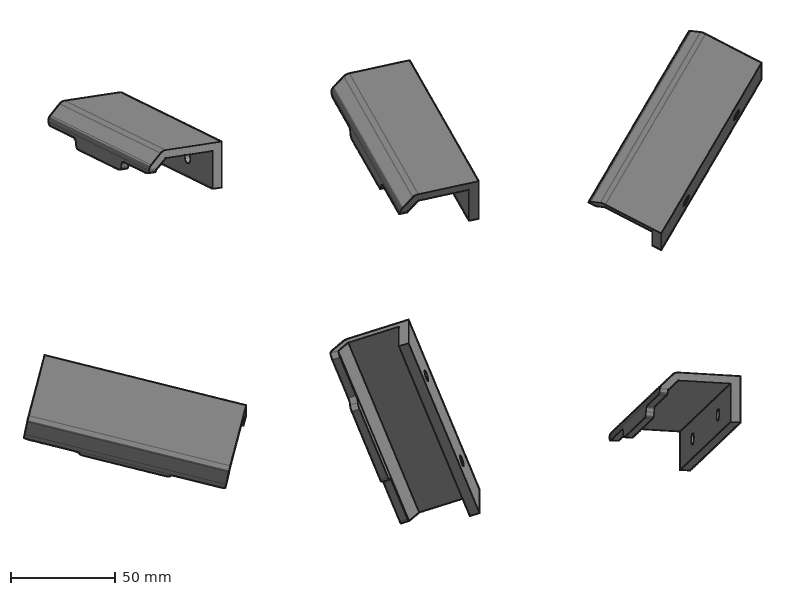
import cadquery as cq
import math

length = 100.0
depth = 40.0
height = 23.0

wall_thickness = 5.0
plate_thickness = 4.0
bend_chamfer = 7.5
bend_radius = 4.0

lip_bottom = height - 11.0
tab_bottom = height - 16.0
tab_width = 45.0
edge_radius = (lip_bottom - tab_bottom) / 2

hole_diameter = 5.5
hole_spacing = 50.0
hole_height = height - 13.5


def make_profile():
    """Extrude the hook-shaped section along X, with the front face at Y = 0."""
    inner_slope_sum = bend_chamfer + math.sqrt(2) * plate_thickness
    inner_bend = inner_slope_sum - plate_thickness
    wall_inside = depth - wall_thickness
    section = [
        (depth, 0),
        (depth, height),
        (bend_chamfer, height),
        (0, height - bend_chamfer),
        (0, tab_bottom),
        (plate_thickness, tab_bottom),
        (plate_thickness, height - inner_bend),
        (inner_bend, height - plate_thickness),
        (wall_inside, height - plate_thickness),
        (wall_inside, 0),
    ]
    body = cq.Workplane("YZ").polyline(section).close().extrude(length)
    margin = plate_thickness / 4
    outer_bends = cq.selectors.BoxSelector(
        (0, -margin, height - bend_chamfer - margin),
        (length, bend_chamfer + margin, height + margin),
    )
    return body.edges("|X").edges(outer_bends).fillet(bend_radius)


def make_lip_cutter(side):
    """Remove the lip beside the tab; side is -1 for the left end, 1 for the right."""
    middle = length / 2
    end = middle + side * length / 2
    tab_edge = middle + side * tab_width / 2
    r = edge_radius
    k = r * math.sqrt(0.5)
    outline = (
        cq.Workplane("XZ")
        .moveTo(tab_edge - side * r, tab_bottom)
        .threePointArc(
            (tab_edge - side * (r - k), tab_bottom + r - k),
            (tab_edge, tab_bottom + r),
        )
        .threePointArc(
            (tab_edge + side * (r - k), lip_bottom - r + k),
            (tab_edge + side * r, lip_bottom),
        )
        .lineTo(end - side * r, lip_bottom)
        .threePointArc(
            (end - side * (r - k), lip_bottom + r - k),
            (end, lip_bottom + r),
        )
        .lineTo(end, tab_bottom)
        .close()
    )
    return outline.extrude(-depth / 2)


def make_hole(side):
    """Bore a mounting hole through the rear wall."""
    return (
        cq.Workplane("XZ", origin=(length / 2 + side * hole_spacing / 2, depth, hole_height))
        .circle(hole_diameter / 2)
        .extrude(wall_thickness)
    )


result = make_profile()
for side in (-1, 1):
    result = result.cut(make_lip_cutter(side))
    result = result.cut(make_hole(side))